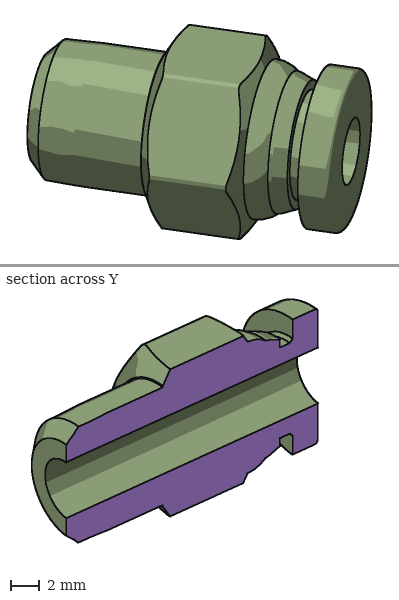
import cadquery as cq
import math


stem_taper_end = 3.70
hex_start = 8.60
hex_end = 16.18
shoulder_end = 17.78
land_end = 18.05
body_end = 19.07
neck_end = 19.90
collar_start = 20.16
length = 22.45

bore_diameter = 4.78
stem_tip_diameter = 7.85
stem_front_diameter = 10.03
stem_diameter = 10.19
hex_front_diameter = 10.42
shoulder_diameter = 11.38
shoulder_end_diameter = 10.14
land_end_diameter = 10.04
body_end_diameter = 9.20
neck_diameter = 7.85
collar_diameter = 11.68

hex_sides = 6
across_flats = 12.7
hex_corner_radius = 0.79
hex_bevel_angle = 30
collar_round = 0.35
neck_flare = 0.26

across_corners = across_flats / math.cos(math.pi / hex_sides)
bevel_slope = math.tan(math.radians(hex_bevel_angle))


def revolve_profile(profile):
    """Turn a closed half profile, drawn as (axial position, radius), about the X axis."""
    return profile.close().revolve(360, (0, 0, 0), (1, 0, 0))


def make_stem():
    tip_chamfer = (stem_front_diameter - stem_tip_diameter) / 2
    profile = (
        cq.Workplane("XY")
        .lineTo(0, stem_tip_diameter / 2)
        .lineTo(tip_chamfer, stem_front_diameter / 2)
        .lineTo(stem_taper_end, stem_diameter / 2)
        .lineTo(hex_start, stem_diameter / 2)
        .lineTo(hex_start, 0)
    )
    return revolve_profile(profile)


def make_hexagon():
    """Rounded hexagon with flats facing +Z and -Z, bevelled by a cone at each end."""
    prism = (
        cq.Workplane("YZ")
        .workplane(offset=hex_start)
        .polygon(hex_sides, across_corners)
        .extrude(hex_end - hex_start)
        .edges("|X")
        .fillet(hex_corner_radius)
    )
    outer_radius = across_corners / 2
    front_bevel = (outer_radius - hex_front_diameter / 2) * bevel_slope
    back_bevel = (outer_radius - shoulder_diameter / 2) * bevel_slope
    envelope = (
        cq.Workplane("XY")
        .moveTo(hex_start, 0)
        .lineTo(hex_start, hex_front_diameter / 2)
        .lineTo(hex_start + front_bevel, outer_radius)
        .lineTo(hex_end - back_bevel, outer_radius)
        .lineTo(hex_end, shoulder_diameter / 2)
        .lineTo(hex_end, 0)
    )
    return prism.intersect(revolve_profile(envelope))


def make_shoulder():
    """Rounded shoulder, narrow land and tapered nose behind the hexagon."""
    arc_run = shoulder_end - hex_end
    arc_drop = (shoulder_diameter - shoulder_end_diameter) / 2
    arc_radius = (arc_run**2 + arc_drop**2) / (2 * arc_drop)
    half_sweep = math.asin(arc_run / arc_radius) / 2
    arc_middle = (
        hex_end + arc_radius * math.sin(half_sweep),
        shoulder_diameter / 2 - arc_radius * (1 - math.cos(half_sweep)),
    )
    profile = (
        cq.Workplane("XY")
        .moveTo(hex_end, 0)
        .lineTo(hex_end, shoulder_diameter / 2)
        .threePointArc(arc_middle, (shoulder_end, shoulder_end_diameter / 2))
        .lineTo(land_end, land_end_diameter / 2)
        .lineTo(body_end, body_end_diameter / 2)
        .lineTo(body_end, 0)
    )
    return revolve_profile(profile)


def make_release_collar():
    """Neck that flares into the release collar, rounded at its outer end."""
    profile = (
        cq.Workplane("XY")
        .moveTo(body_end, 0)
        .lineTo(body_end, neck_diameter / 2)
        .lineTo(neck_end, neck_diameter / 2)
        .lineTo(collar_start, neck_diameter / 2 + neck_flare)
        .lineTo(collar_start, collar_diameter / 2)
        .lineTo(length, collar_diameter / 2)
        .lineTo(length, 0)
    )
    return revolve_profile(profile).faces(">X").edges().fillet(collar_round)


def make_bore():
    return cq.Workplane("YZ").circle(bore_diameter / 2).extrude(length)


result = (
    make_stem()
    .union(make_hexagon())
    .union(make_shoulder())
    .union(make_release_collar())
    .cut(make_bore())
)